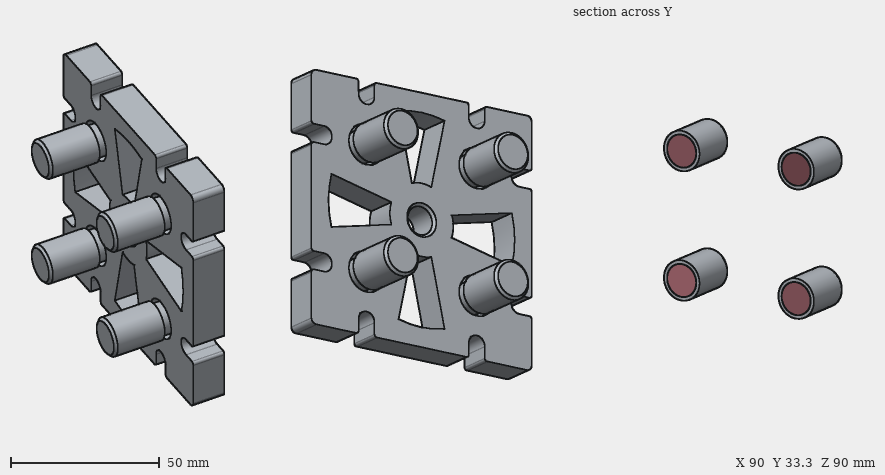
import cadquery as cq
import math

plate_side = 90.0
plate_thickness = 12.0
corner_radius = 2.0
overall_depth = 33.3

pitch = 45.0
slot_width = 6.5
slot_depth = 8.4
slot_mouth_radius = 1.0

window_outer_radius = 38.0
window_inner_radius = 13.0
window_outer_half_width = 9.4
window_inner_half_width = 4.0

bore_diameter = 10.0
bore_chamfer = 1.0

pin_diameter = 14.0
pin_chamfer = 1.0
neck_diameter = 11.5
neck_gap = 2.3
recess_diameter = 14.4
recess_depth = 3.5

half_side = plate_side / 2
half_pitch = pitch / 2
pin_reach = overall_depth - plate_thickness
quarter_turns = [0, 90, 180, 270]
pin_places = [(x, z) for x in (-half_pitch, half_pitch) for z in (-half_pitch, half_pitch)]


def front_plane(y=0.0):
    """Sketch plane parallel to the plate's front face, with X right, Z up and normal toward -Y."""
    return cq.Workplane("XZ", origin=(0, y, 0))


def slot_cutter(x):
    """Round-bottomed slot entering from the top edge, its mouth rounded outward."""
    half_width = slot_width / 2
    mouth = half_width + slot_mouth_radius
    shoulder = half_side - slot_mouth_radius
    round_centre = half_side - slot_depth + half_width
    round_step = slot_mouth_radius * (1 - math.sqrt(0.5))
    return (
        front_plane()
        .moveTo(x - mouth, half_side)
        .threePointArc((x - half_width - round_step, half_side - round_step), (x - half_width, shoulder))
        .lineTo(x - half_width, round_centre)
        .threePointArc((x, half_side - slot_depth), (x + half_width, round_centre))
        .lineTo(x + half_width, shoulder)
        .threePointArc((x + half_width + round_step, half_side - round_step), (x + mouth, half_side))
        .close()
        .extrude(-plate_thickness)
    )


def window_cutter():
    """Fan-shaped window above the plate centre."""
    outer_z = math.sqrt(window_outer_radius**2 - window_outer_half_width**2)
    inner_z = math.sqrt(window_inner_radius**2 - window_inner_half_width**2)
    return (
        front_plane()
        .moveTo(-window_inner_half_width, inner_z)
        .lineTo(-window_outer_half_width, outer_z)
        .threePointArc((0, window_outer_radius), (window_outer_half_width, outer_z))
        .lineTo(window_inner_half_width, inner_z)
        .threePointArc((0, window_inner_radius), (-window_inner_half_width, inner_z))
        .close()
        .extrude(-plate_thickness)
    )


def make_plate():
    """Square plate with its front face at y = 0 and its back face at y = plate_thickness."""
    plate = front_plane().rect(plate_side, plate_side).extrude(-plate_thickness)
    plate = plate.edges("|Y").fillet(corner_radius)

    bore = front_plane().circle(bore_diameter / 2).extrude(-plate_thickness)
    plate = plate.cut(bore)
    rim = cq.selectors.RadiusNthSelector(-1)
    plate = plate.faces("<Y").edges("%CIRCLE").edges(rim).chamfer(bore_chamfer)

    cutters = [slot_cutter(-half_pitch), slot_cutter(half_pitch), window_cutter()]
    for angle in quarter_turns:
        for cutter in cutters:
            plate = plate.cut(cutter.rotate((0, 0, 0), (0, 1, 0), angle))

    recesses = front_plane().pushPoints(pin_places).circle(recess_diameter / 2).extrude(-recess_depth)
    return plate.cut(recesses)


def make_pin(x, z):
    """Pin seated on its recess floor and pointing toward -Y."""
    neck = (
        front_plane(recess_depth)
        .center(x, z)
        .circle(neck_diameter / 2)
        .extrude(recess_depth + neck_gap)
    )
    end = (
        front_plane(-neck_gap)
        .center(x, z)
        .circle(pin_diameter / 2)
        .extrude(pin_reach - neck_gap)
        .faces("<Y")
        .chamfer(pin_chamfer)
    )
    return neck.union(end)


plate = make_plate()
pins = [make_pin(x, z) for x, z in pin_places]

result = cq.Compound.makeCompound([plate.val(), *[pin.val() for pin in pins]])